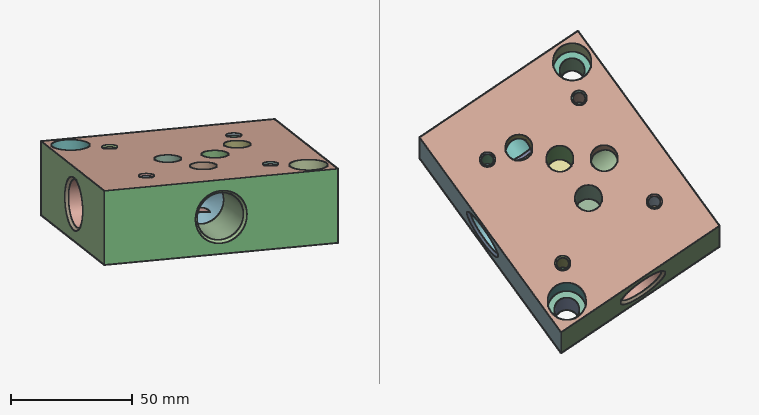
import cadquery as cq
import math

block_x = 79.5
block_y = 101.6
block_z = 31.7

mount_d = 10.3
mount_cbore_d = 15.8
mount_cbore_depth = 12.7
mount_edge_gap = 9.5

pattern_x = 0.7
pattern_y = 0.0
tap_spacing_x = 45.9
tap_spacing_y = 54.0
tap_d = 5.0
tap_mouth_d = 6.4
tap_depth = 15.2

passage_d = 11.2
passage_depth = 21.1
working_passage_x = 1.6
working_passage_y = 10.3
pressure_passage_x = 16.7
tank_passage_x = -9.4
tank_passage_y = 23.8

port_z = block_z / 2
port_mouth_d = 22.5
port_thread_d = 20.1
port_bore_d = 19.0
port_chamfer_depth = 1.2
port_bore_depth = 24.4
front_port_x = 1.3
left_port_y = 5.6
back_port_x = -5.2

drill_point_angle = 118.0


def drill_point_length(diameter):
    """Height of the conical end left by a drill."""
    return diameter / 2 / math.tan(math.radians(drill_point_angle / 2))


def turned_cutter(profile, origin, direction):
    """Solid of revolution from (radius, depth) points, starting at origin and going along direction."""
    points = [(0, 0)] + profile
    body = cq.Workplane("XY").polyline(points).close().revolve(360, (0, 0, 0), (0, 1, 0)).val()
    upright = body.rotate(cq.Vector(0, 0, 0), cq.Vector(1, 0, 0), 90)
    target = cq.Plane(origin=origin, normal=direction)
    return cq.Workplane(upright.moved(cq.Location(target)))


def port_cutter(origin, direction):
    """Chamfered mouth, tapered bore and drill point."""
    bore_r = port_bore_d / 2
    profile = [
        (port_mouth_d / 2, 0),
        (port_thread_d / 2, port_chamfer_depth),
        (bore_r, port_bore_depth),
        (0, port_bore_depth + drill_point_length(port_bore_d)),
    ]
    return turned_cutter(profile, origin, direction)


def tapped_hole_cutter(origin, direction):
    """Countersunk mouth, straight bore and drill point."""
    bore_r = tap_d / 2
    mouth_r = tap_mouth_d / 2
    profile = [
        (mouth_r, 0),
        (bore_r, mouth_r - bore_r),
        (bore_r, tap_depth),
        (0, tap_depth + drill_point_length(tap_d)),
    ]
    return turned_cutter(profile, origin, direction)


result = cq.Workplane("XY").box(block_x, block_y, block_z, centered=(True, True, False))

mount_x = block_x / 2 - mount_edge_gap
mount_y = block_y / 2 - mount_edge_gap
result = (
    result.faces(">Z")
    .workplane(origin=(0, 0, block_z))
    .pushPoints([(mount_x, mount_y), (-mount_x, -mount_y)])
    .cboreHole(mount_d, mount_cbore_d, mount_cbore_depth)
)

passage_points = [
    (pattern_x + working_passage_x, pattern_y + working_passage_y),
    (pattern_x + working_passage_x, pattern_y - working_passage_y),
    (pattern_x + pressure_passage_x, pattern_y),
    (pattern_x + tank_passage_x, pattern_y + tank_passage_y),
]
result = (
    result.faces(">Z")
    .workplane(origin=(0, 0, block_z))
    .pushPoints(passage_points)
    .hole(passage_d, passage_depth)
)

for side_x in (-1, 1):
    for side_y in (-1, 1):
        tap_x = pattern_x + side_x * tap_spacing_x / 2
        tap_y = pattern_y + side_y * tap_spacing_y / 2
        result = result.cut(tapped_hole_cutter((tap_x, tap_y, block_z), (0, 0, -1)))

ports = [
    ((front_port_x, -block_y / 2, port_z), (0, 1, 0)),
    ((back_port_x, block_y / 2, port_z), (0, -1, 0)),
    ((-block_x / 2, left_port_y, port_z), (1, 0, 0)),
    ((block_x / 2, pattern_y, port_z), (-1, 0, 0)),
]
for mouth_centre, inward in ports:
    result = result.cut(port_cutter(mouth_centre, inward))